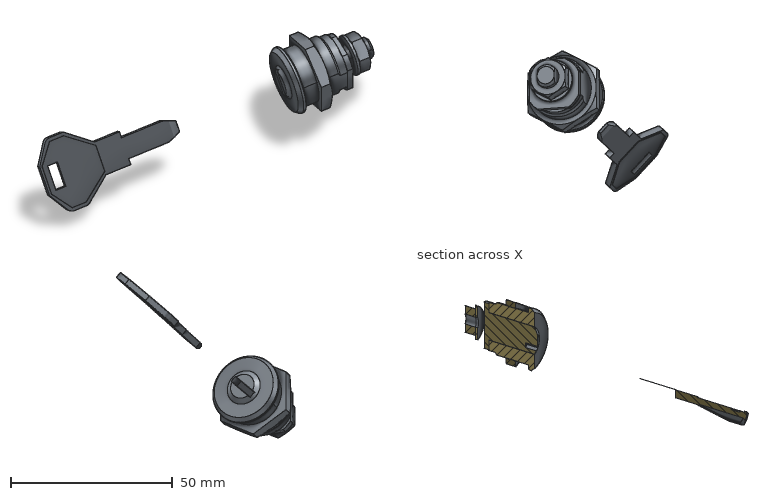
import cadquery as cq
import math


flange_front_y = 1.1
flange_rim_front_y = 2.5
flange_back_y = 3.6
mounting_nut_front_y = 8.6
housing_neck_y = 16.0
housing_back_y = 19.2
collar_back_y = 21.0
washer_front_y = 23.5
stud_end_y = 31.0

flange_diameter = 22.0
flange_face_diameter = 19.9
flange_back_chamfer = 0.3
housing_diameter = 19.0
housing_width = 15.9
neck_diameter = 17.6
neck_chamfer = (housing_diameter - neck_diameter) / 2

plug_diameter = 11.1
plug_face_diameter = 7.9
collar_width = 15.7
collar_offset = 0.1
collar_round_diameter = 18.1
collar_round_offset = 0.5
stud_diameter = 7.1
stud_width = 5.4
stud_chamfer = 0.8
keyway_width = 9.0
keyway_depth = 4.7

hexagon_sides = 6
nut_chamfer_angle = 25
mounting_nut_width = 22.0
mounting_nut_thickness = 3.8
clamp_nut_width = 11.1
clamp_nut_thickness = 4.1
washer_diameter = 13.2
washer_thickness = 0.9
clamp_nut_front_y = washer_front_y + washer_thickness

key_roll = 45
key_thickness = 2.0
key_length = 46.3
key_end_y = stud_end_y - 113
bow_width = 24.4
bow_end_width = 9.6
bow_side_start = 4.7
bow_side_end = 10.8
bow_corner_radius = 2.3
shoulder_start = 19.3
shoulder_end = 27.9
shoulder_width = 11.0
blade_width = 7.0
tip_taper_start = 41.8
tip_bevel_start = 44.0
tip_width = 3.6
tip_thickness = 0.9
panel_width = 22.2
panel_base_width = 9.3
panel_top_width = 8.7
panel_start = 0.8
panel_side_start = 5.7
panel_side_end = 10.5
panel_depth = 0.2
bow_hole_width = 8.1
bow_hole_length = 3.4
bow_hole_start = 2.6


def turned(profile):
    """Solid of revolution about Y from (radius, y) points."""
    return cq.Workplane("XY").polyline(profile).close().revolve(360, (0, 0, 0), (0, 1, 0))


def cylinder(diameter, start_y, end_y):
    """Cylinder along Y between two stations."""
    radius = diameter / 2
    return turned([(0, start_y), (radius, start_y), (radius, end_y), (0, end_y)])


def slab(size_x, start_y, end_y, size_z):
    """Box centred on the lock axis between two stations."""
    return cq.Workplane("XY").box(size_x, end_y - start_y, size_z).translate((0, (start_y + end_y) / 2, 0))


def make_housing():
    flange_radius = flange_diameter / 2
    body_radius = housing_diameter / 2
    neck_radius = neck_diameter / 2
    flange = turned([
        (0, flange_front_y),
        (flange_face_diameter / 2, flange_front_y),
        (flange_radius, flange_rim_front_y),
        (flange_radius, flange_back_y - flange_back_chamfer),
        (flange_radius - flange_back_chamfer, flange_back_y),
        (0, flange_back_y),
    ])
    barrel = turned([
        (0, flange_back_y),
        (body_radius, flange_back_y),
        (body_radius, housing_neck_y),
        (neck_radius, housing_neck_y + neck_chamfer),
        (neck_radius, housing_back_y),
        (0, housing_back_y),
    ])
    flats = slab(housing_width, flange_back_y, housing_back_y, housing_diameter)
    bore = cylinder(plug_diameter, flange_front_y, housing_back_y)
    return flange.union(barrel.intersect(flats)).cut(bore)


def make_plug():
    plug_radius = plug_diameter / 2
    stud_radius = stud_diameter / 2
    barrel = turned([
        (0, 0),
        (plug_face_diameter / 2, 0),
        (plug_radius, flange_front_y),
        (plug_radius, housing_back_y),
        (0, housing_back_y),
    ])
    collar_square = slab(collar_width, housing_back_y, collar_back_y, collar_width).translate(
        (collar_offset, 0, -collar_offset)
    )
    collar_round = cylinder(collar_round_diameter, housing_back_y, collar_back_y).translate(
        (collar_round_offset, 0, -collar_round_offset)
    )
    collar = collar_square.intersect(collar_round)
    stud = turned([
        (0, collar_back_y),
        (stud_radius, collar_back_y),
        (stud_radius, stud_end_y - stud_chamfer),
        (stud_radius - stud_chamfer, stud_end_y),
        (0, stud_end_y),
    ]).intersect(slab(stud_width, collar_back_y, stud_end_y, stud_diameter))
    keyway = slab(keyway_width, 0, keyway_depth, key_thickness).rotate((0, 0, 0), (0, 1, 0), key_roll)
    return barrel.union(collar).union(stud).cut(keyway)


def make_hex_nut(width, thickness, bore_diameter, front_y, chamfer_front):
    """Hexagon nut with corners on +Z and -Z, its back (and optionally front) corners chamfered."""
    corner_radius = width / math.sqrt(3)
    face_radius = width / 2
    drop = (corner_radius - face_radius) * math.tan(math.radians(nut_chamfer_angle))
    back_y = front_y + thickness
    hexagon = (
        cq.Workplane("XZ")
        .polygon(hexagon_sides, 2 * corner_radius)
        .extrude(-thickness)
        .rotate((0, 0, 0), (0, 1, 0), 180 / hexagon_sides)
        .translate((0, front_y, 0))
    )
    if chamfer_front:
        front_edge = [(face_radius, front_y), (corner_radius, front_y + drop)]
    else:
        front_edge = [(corner_radius, front_y)]
    envelope = turned(
        [(0, front_y)] + front_edge + [(corner_radius, back_y - drop), (face_radius, back_y), (0, back_y)]
    )
    return hexagon.intersect(envelope).cut(cylinder(bore_diameter, front_y, back_y))


def make_washer():
    end_y = washer_front_y + washer_thickness
    return cylinder(washer_diameter, washer_front_y, end_y).cut(
        cylinder(stud_diameter, washer_front_y, end_y)
    )


def mirrored(half_outline):
    """Closed outline from points on its +X side, listed from the bow towards the tip."""
    return half_outline + [(-x, y) for x, y in reversed(half_outline)]


def make_key():
    half_thickness = key_thickness / 2
    bow_outline = mirrored([
        (bow_end_width / 2, 0),
        (bow_width / 2, bow_side_start),
        (bow_width / 2, bow_side_end),
        (shoulder_width / 2, shoulder_start),
    ])
    bow = (
        cq.Workplane("XY")
        .polyline(bow_outline)
        .close()
        .extrude(half_thickness, both=True)
        .edges("|Z and (<X or >X)")
        .fillet(bow_corner_radius)
    )
    blade_outline = mirrored([
        (shoulder_width / 2, shoulder_start),
        (shoulder_width / 2, shoulder_end),
        (blade_width / 2, shoulder_end),
        (blade_width / 2, tip_taper_start),
        (tip_width / 2, key_length),
    ])
    blade = cq.Workplane("XY").polyline(blade_outline).close().extrude(half_thickness, both=True)

    bevel_outline = [
        (0, half_thickness),
        (tip_bevel_start, half_thickness),
        (key_length, tip_thickness / 2),
        (key_length, -tip_thickness / 2),
        (tip_bevel_start, -half_thickness),
        (0, -half_thickness),
    ]
    side_profile = cq.Workplane("YZ").polyline(bevel_outline).close().extrude(bow_width, both=True)
    key = bow.union(blade.intersect(side_profile))

    panel_outline = mirrored([
        (panel_base_width / 2, panel_start),
        (panel_width / 2, panel_side_start),
        (panel_width / 2, panel_side_end),
        (panel_top_width / 2, shoulder_start),
    ])
    for side in (1, -1):
        panel = (
            cq.Workplane("XY")
            .workplane(offset=side * half_thickness)
            .polyline(panel_outline)
            .close()
            .extrude(-side * panel_depth)
        )
        key = key.cut(panel)

    hole = slab(bow_hole_width, bow_hole_start, bow_hole_start + bow_hole_length, key_thickness)
    key = key.cut(hole)
    return key.rotate((0, 0, 0), (0, 1, 0), key_roll).translate((0, key_end_y, 0))


housing = make_housing()
plug = make_plug()
mounting_nut = make_hex_nut(
    mounting_nut_width, mounting_nut_thickness, housing_diameter, mounting_nut_front_y, chamfer_front=False
)
washer = make_washer()
clamp_nut = make_hex_nut(
    clamp_nut_width, clamp_nut_thickness, stud_diameter, clamp_nut_front_y, chamfer_front=True
)
key = make_key()

result = cq.Compound.makeCompound([
    housing.val(),
    plug.val(),
    mounting_nut.val(),
    washer.val(),
    clamp_nut.val(),
    key.val(),
])